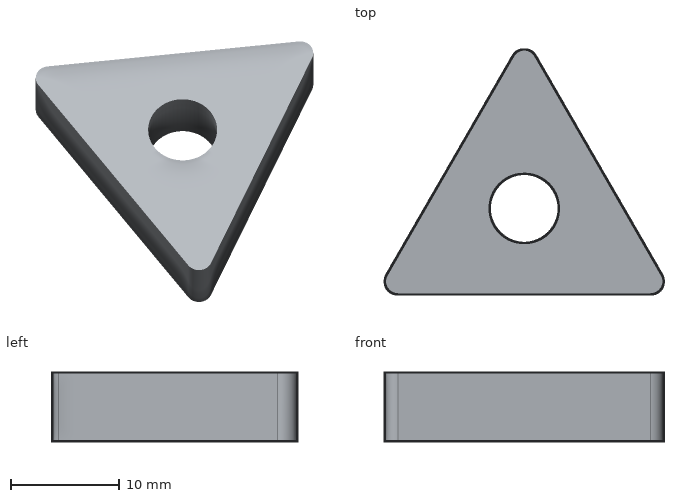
import cadquery as cq
import math

overall_width = 25.75
thickness = 6.35
hole_diameter = 6.35
corner_radius = 1.2

arc_centre_spacing = overall_width - 2 * corner_radius
inscribed_radius = arc_centre_spacing / (2 * math.sqrt(3)) + corner_radius
sharp_corner_radius = 2 * inscribed_radius

sharp_corners = []
for angle_degrees in (90, 210, 330):
    angle = math.radians(angle_degrees)
    sharp_corners.append((sharp_corner_radius * math.cos(angle), sharp_corner_radius * math.sin(angle)))

plate = cq.Workplane("XY").polyline(sharp_corners).close().extrude(thickness)
plate = plate.edges("|Z").fillet(corner_radius)

result = plate.faces(">Z").workplane(origin=(0, 0, thickness)).hole(hole_diameter)